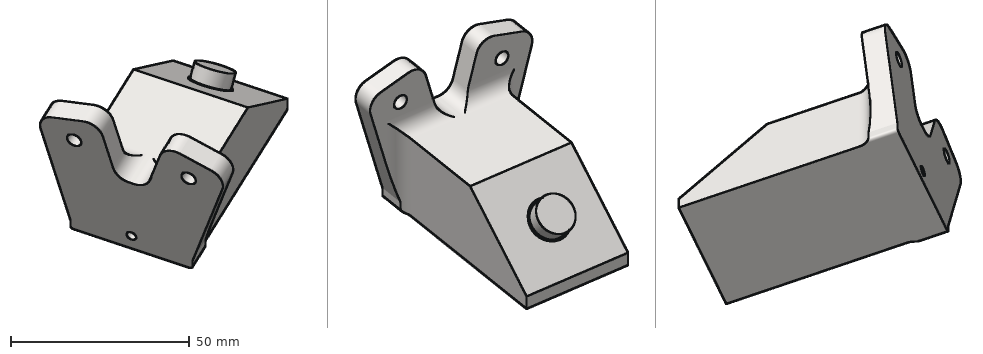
import cadquery as cq
import math

body_width = 35.3
body_height = 26.85
body_length = 66.81
slope_start = 40.0
slope_angle = 40.0

plate_thickness = 7.0
foot_width = 37.7
foot_corner_radius = 1.0
arm_lean = 15.35
arm_half_width = 9.975
arm_tip_above_hole = 7.915
arm_corner_radius = 5.0
notch_radius = 5.1
blend_radius = 5.0

arm_hole_diameter = 4.4
arm_hole_x = body_width / 2
arm_hole_z = 36.7
foot_hole_diameter = 2.9
foot_hole_z = 5.2

pin_diameter = 12.0
pin_height = 5.0
collar_diameter = 13.0
collar_height = 0.1
root_depth = 1.0

pick_margin = 0.1

lean = math.radians(arm_lean)
slope = math.radians(slope_angle)
blend_end = plate_thickness + blend_radius
slope_end_z = body_height - (body_length - slope_start) * math.tan(slope)


def arm_point(across, along):
    """XZ point on the right arm, measured from its hole across and along the leaning arm."""
    x = arm_hole_x + across * math.cos(lean) + along * math.sin(lean)
    z = arm_hole_z - across * math.sin(lean) + along * math.cos(lean)
    return x, z


def wall_point_at_height(across, z):
    """XZ point at height z on the arm wall lying at the given distance from the hole."""
    wall_x, wall_z = arm_point(across, 0)
    return wall_x + (z - wall_z) * math.tan(lean), z


def wall_point_at_width(across, x):
    """XZ point at distance x from the centre on the arm wall lying at the given distance from the hole."""
    wall_x, wall_z = arm_point(across, 0)
    return x, wall_z + (x - wall_x) / math.tan(lean)


def front_solid(points, depth):
    """Extrude a closed XZ outline from the front face towards +Y."""
    return cq.Workplane("XZ").polyline(points).close().extrude(-depth)


def round_corners(solid, corners, depth, radius):
    """Round the given XZ corners and their mirror images, along edges running from the front."""
    for x, z in corners:
        for corner_x in (x, -x):
            corner_box = cq.selectors.BoxSelector(
                (corner_x - pick_margin, -pick_margin, z - pick_margin),
                (corner_x + pick_margin, depth + pick_margin, z + pick_margin),
            )
            solid = solid.edges("|Y").edges(corner_box).fillet(radius)
    return solid


def make_outline(depth):
    """Plate outline with rounded feet, arm tips and notch, extruded to the given depth."""
    right_half = [
        (foot_width / 2, 0),
        wall_point_at_width(arm_half_width, foot_width / 2),
        arm_point(arm_half_width, arm_tip_above_hole),
        arm_point(-arm_half_width, arm_tip_above_hole),
        wall_point_at_height(-arm_half_width, body_height),
    ]
    left_half = [(-x, z) for x, z in reversed(right_half)]
    outline = front_solid(right_half + left_half, depth)

    outline = round_corners(outline, right_half[:1], depth, foot_corner_radius)
    outline = round_corners(outline, right_half[2:4], depth, arm_corner_radius)
    return round_corners(outline, right_half[4:], depth, notch_radius)


def make_body():
    """Wedge body, running through the plate to the front face."""
    profile = [
        (0, 0),
        (body_length, 0),
        (body_length, slope_end_z),
        (slope_start, body_height),
        (0, body_height),
    ]
    return cq.Workplane("YZ").polyline(profile).close().extrude(body_width / 2, both=True)


def make_blended_bracket():
    """Join plate and body with a concave blend, trimmed to the plate outline."""
    slab_width = 2 * body_width
    slab_height = 2 * body_height
    slab = cq.Workplane("XY").box(slab_width, plate_thickness, slab_height, centered=(True, False, False))
    joined = slab.union(make_body())
    seam = cq.selectors.BoxSelector(
        (-body_width / 2 - pick_margin, plate_thickness - pick_margin, -pick_margin),
        (body_width / 2 + pick_margin, plate_thickness + pick_margin, body_height + pick_margin),
    )
    blended = joined.edges(seam).fillet(blend_radius)
    front = blended.intersect(make_outline(blend_end))
    rear_box = cq.Workplane("XY").box(
        slab_width, body_length - blend_end, slab_height, centered=(True, False, False)
    )
    rear = make_body().intersect(rear_box.translate((0, blend_end, 0)))
    return front.union(rear)


def slope_cylinder(diameter, height):
    """Cylinder square to the slope at its centre, rooted inside the body to join it cleanly."""
    middle_y = (slope_start + body_length) / 2
    middle_z = (body_height + slope_end_z) / 2
    slope_plane = cq.Plane(
        origin=(0, middle_y, middle_z),
        xDir=(1, 0, 0),
        normal=(0, math.sin(slope), math.cos(slope)),
    )
    root_plane = cq.Workplane(slope_plane).workplane(offset=-root_depth)
    return root_plane.circle(diameter / 2).extrude(root_depth + height)


def make_pin():
    """Pin standing on the slope, with a thin collar around its foot."""
    pin = slope_cylinder(pin_diameter, pin_height)
    return pin.union(slope_cylinder(collar_diameter, collar_height))


def make_holes():
    """Holes through both arms and the blind hole in the foot."""
    arm_holes = (
        cq.Workplane("XZ")
        .pushPoints([(-arm_hole_x, arm_hole_z), (arm_hole_x, arm_hole_z)])
        .circle(arm_hole_diameter / 2)
        .extrude(-plate_thickness)
    )
    foot_hole = (
        cq.Workplane("XZ")
        .center(0, foot_hole_z)
        .circle(foot_hole_diameter / 2)
        .extrude(-plate_thickness)
    )
    return arm_holes.union(foot_hole)


result = make_blended_bracket().union(make_pin()).cut(make_holes())